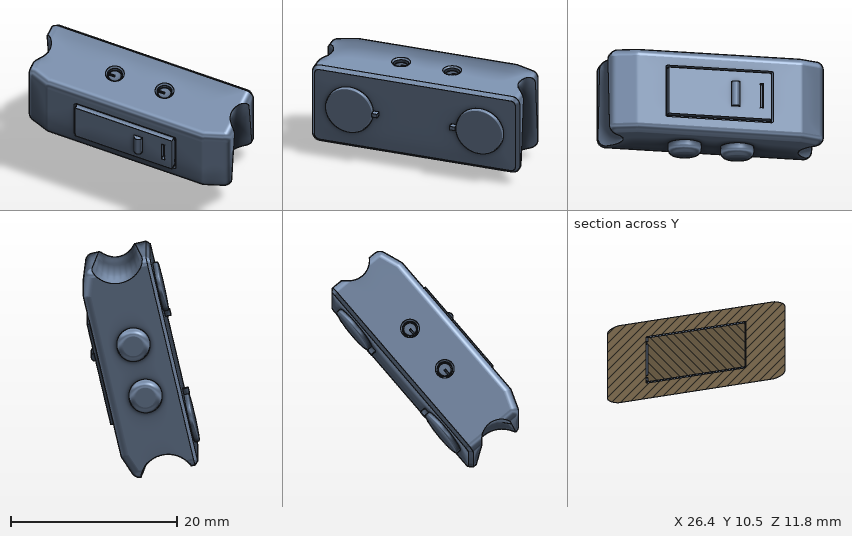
import cadquery as cq
import math

LENGTH = 26.4
DEPTH = 8.9
HEIGHT = 10.4
FRONT_FLAT = 20.38
FRONT_SLANT = 20.0
EDGE_RADIUS = 1.0
BACK_CHAMFER = 0.42
MID_Z = HEIGHT / 2
SELECT_MARGIN = 0.03
FITTINGS_X = -0.03

GRIP_DEPTH = 1.32
GRIP_TOP_RADIUS = 2.4
GRIP_BOTTOM_RADIUS = 3.38
GRIP_Y = 4.88

CONTROL_SPACING = 6.5
CONTROL_Y = 4.62
CONTROL_X = [FITTINGS_X - CONTROL_SPACING / 2, FITTINGS_X + CONTROL_SPACING / 2]
BUTTON_RADIUS = 2.0
BUTTON_HEIGHT = 1.4
BUTTON_ROUNDING = 0.8
TRIMMER_RADIUS = 0.92
TRIMMER_HEIGHT = 1.05
TRIMMER_CHAMFER = 0.15
TRIMMER_SINK = 0.48
HOLE_CHAMFER = 0.2
MARK_WIDTH = 0.2
MARK_DEPTH = 0.13

DOOR_LENGTH = 12.67
DOOR_HEIGHT = 5.78
DOOR_PROUD = 0.4
POCKET_DEPTH = 0.8
POCKET_RIM_CHAMFER = 0.2
POCKET_CORNER_RADIUS = 0.1
LEFT_GAP = 0.08
RIGHT_GAP = 0.15
SIDE_GAP = 0.1
LUG_RADIUS = 0.15
LUG_SPACING = 4.38
LUG_Y = 0.48
RIDGE_X = 1.9
RIDGE_HALF_WIDTH = 0.53
RIDGE_HEIGHT = 0.5
SLOT_X = 5.15
SLOT_WIDTH = 0.4
SLOT_DEPTH = 0.53
GRASP_HEIGHT = 3.0

DISC_SPACING = 16.58
DISC_Z = 5.28
DISC_RADIUS = 2.98
DISC_THICKNESS = 0.55
DISC_ROUNDING = 0.15
BLOCK_REACH = 0.7
BLOCK_HEIGHT = 0.48
BLOCK_THICKNESS = 0.69


def make_shell():
    """Rounded block with swept-back front ends and a chamfered back."""
    half = LENGTH / 2
    flat = FRONT_FLAT / 2
    slant_y = (half - flat) * math.tan(math.radians(FRONT_SLANT))
    outline = [(-flat, 0), (flat, 0), (half, slant_y), (half, DEPTH), (-half, DEPTH), (-half, slant_y)]
    block = cq.Workplane("XY").polyline(outline).close().extrude(HEIGHT)
    back_edges = cq.selectors.BoxSelector(
        (-LENGTH, DEPTH - SELECT_MARGIN, -HEIGHT), (LENGTH, DEPTH + SELECT_MARGIN, 2 * HEIGHT)
    )
    rounded = block.edges(cq.selectors.InverseSelector(back_edges)).fillet(EDGE_RADIUS)
    return rounded.faces(">Y").edges().chamfer(BACK_CHAMFER)


def make_grip(side):
    """Conical cutter for one end."""
    axis_x = side * (LENGTH / 2 - GRIP_DEPTH + GRIP_TOP_RADIUS)
    cone = cq.Solid.makeCone(GRIP_BOTTOM_RADIUS, GRIP_TOP_RADIUS, HEIGHT)
    return cq.Workplane(cone).translate((axis_x, GRIP_Y, 0))


def make_trimmer_hole(x):
    """Cutter for a blind hole with a chamfered mouth."""
    mouth = (
        cq.Workplane("XY", origin=(x, CONTROL_Y, HEIGHT - HOLE_CHAMFER))
        .circle(TRIMMER_RADIUS)
        .workplane(offset=HOLE_CHAMFER)
        .circle(TRIMMER_RADIUS + HOLE_CHAMFER)
        .loft()
    )
    depth = TRIMMER_SINK + TRIMMER_HEIGHT
    bore = cq.Workplane("XY", origin=(x, CONTROL_Y, HEIGHT - depth)).circle(TRIMMER_RADIUS).extrude(depth)
    return bore.union(mouth)


def cut_door_pocket(housing):
    """Cut the door's pocket, slightly larger than the door, and chamfer its rim."""
    length = DOOR_LENGTH + LEFT_GAP + RIGHT_GAP
    height = DOOR_HEIGHT + 2 * SIDE_GAP
    middle_x = FITTINGS_X + (RIGHT_GAP - LEFT_GAP) / 2
    pocket = (
        cq.Workplane("XY", origin=(middle_x, 0, MID_Z))
        .box(length, POCKET_DEPTH, height, centered=(True, False, True))
        .edges("|Y")
        .fillet(POCKET_CORNER_RADIUS)
    )
    reach_x = length / 2 + SELECT_MARGIN
    reach_z = height / 2 + SELECT_MARGIN
    rim = cq.selectors.BoxSelector(
        (middle_x - reach_x, -SELECT_MARGIN, MID_Z - reach_z),
        (middle_x + reach_x, SELECT_MARGIN, MID_Z + reach_z),
    )
    return housing.cut(pocket).edges(rim).chamfer(POCKET_RIM_CHAMFER)


def make_housing():
    """Shell with both grips, the trimmer holes and the door pocket cut out."""
    housing = make_shell()
    for side in (-1, 1):
        housing = housing.cut(make_grip(side))
    for x in CONTROL_X:
        housing = housing.cut(make_trimmer_hole(x))
    return cut_door_pocket(housing)


def make_door():
    """Plate with a rounded upright ridge, an upright slot and two round end lugs."""
    plate = cq.Workplane("XY", origin=(FITTINGS_X, -DOOR_PROUD, MID_Z)).box(
        DOOR_LENGTH, DOOR_PROUD + POCKET_DEPTH, DOOR_HEIGHT, centered=(True, False, True)
    )
    ridge = (
        cq.Workplane("XY", origin=(RIDGE_X, -DOOR_PROUD, MID_Z - GRASP_HEIGHT / 2))
        .moveTo(-RIDGE_HALF_WIDTH, 0)
        .threePointArc((0, -RIDGE_HEIGHT), (RIDGE_HALF_WIDTH, 0))
        .close()
        .extrude(GRASP_HEIGHT)
    )
    slot = cq.Workplane("XY", origin=(SLOT_X, -DOOR_PROUD, MID_Z)).box(
        SLOT_WIDTH, SLOT_DEPTH, GRASP_HEIGHT, centered=(True, False, True)
    )
    door = plate.union(ridge).cut(slot)
    end_x = FITTINGS_X + DOOR_LENGTH / 2
    for side in (-1, 1):
        lug = (
            cq.Workplane("YZ", origin=(end_x, LUG_Y, MID_Z + side * LUG_SPACING / 2))
            .circle(LUG_RADIUS)
            .extrude(RIGHT_GAP)
        )
        door = door.union(lug)
    return door


def make_button(x):
    """Round button with a rounded lower edge."""
    base = cq.Workplane("XY", origin=(x, CONTROL_Y, -BUTTON_HEIGHT))
    button = base.circle(BUTTON_RADIUS).extrude(BUTTON_HEIGHT)
    return button.faces("<Z").edges().fillet(BUTTON_ROUNDING)


def make_trimmer(x):
    """Short chamfered cylinder with a radial groove in its top."""
    top = HEIGHT - TRIMMER_SINK
    body = (
        cq.Workplane("XY", origin=(x, CONTROL_Y, top - TRIMMER_HEIGHT))
        .circle(TRIMMER_RADIUS)
        .extrude(TRIMMER_HEIGHT)
        .faces(">Z")
        .edges()
        .chamfer(TRIMMER_CHAMFER)
    )
    mark = cq.Workplane("XY", origin=(x - TRIMMER_RADIUS / 2, CONTROL_Y, top - MARK_DEPTH / 2)).box(
        TRIMMER_RADIUS, MARK_WIDTH, MARK_DEPTH
    )
    return body.cut(mark)


def make_disc(side):
    """Flat disc with a rounded outer edge."""
    disc_x = FITTINGS_X + side * DISC_SPACING / 2
    disc = cq.Workplane("XZ", origin=(disc_x, DEPTH, DISC_Z)).circle(DISC_RADIUS).extrude(-DISC_THICKNESS)
    return disc.faces(">Y").edges().fillet(DISC_ROUNDING)


def make_block(side):
    """Block whose outer end is hollowed to fit the disc's rim."""
    disc_x = FITTINGS_X + side * DISC_SPACING / 2
    length = DISC_RADIUS + BLOCK_REACH
    bar = cq.Workplane("XY", origin=(disc_x - side * length / 2, DEPTH, DISC_Z)).box(
        length, BLOCK_THICKNESS, BLOCK_HEIGHT, centered=(True, False, True)
    )
    rim = cq.Workplane("XZ", origin=(disc_x, DEPTH, DISC_Z)).circle(DISC_RADIUS).extrude(-BLOCK_THICKNESS)
    return bar.cut(rim)


housing = make_housing()
door = make_door()
buttons = [make_button(x).val() for x in CONTROL_X]
trimmers = [make_trimmer(x).val() for x in CONTROL_X]
discs = [make_disc(side).val() for side in (-1, 1)]
blocks = [make_block(side).val() for side in (-1, 1)]

result = cq.Compound.makeCompound([housing.val(), door.val(), *buttons, *trimmers, *discs, *blocks])